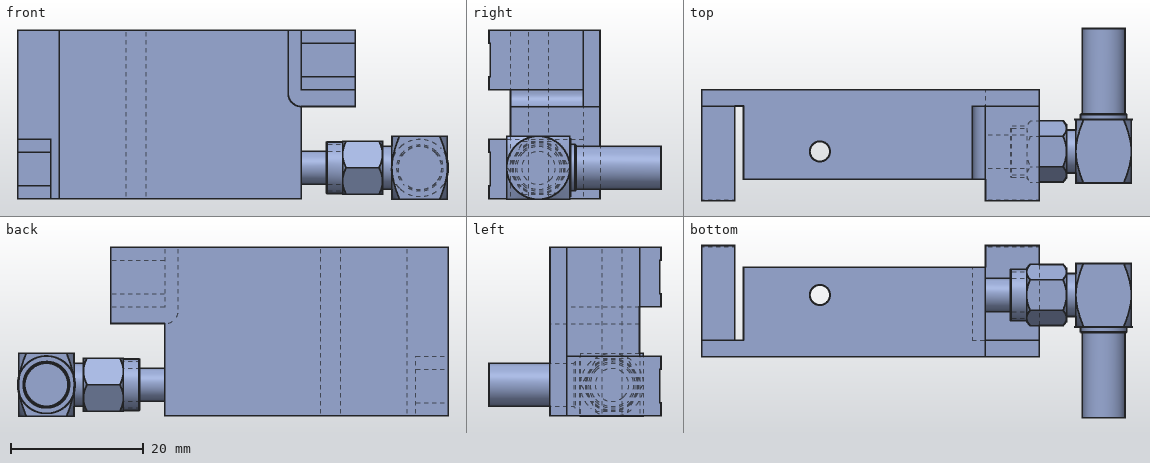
import cadquery as cq
import math


housing_length = 50.8
housing_height = 25.4
plate_thickness = 2.5
block_front_y = -13.5
block_left_x = 6.3
block_right_x = 42.7
recess_left_x = 40.7
recess_depth_z = 11.5
recess_radius = 2.0
cross_hole_diameter = 3.0
cross_hole_x = 17.8

foot_height = 9.0
foot_front_y = -16.75
left_foot_width = 5.0
right_foot_width = housing_length - block_right_x
foot_groove_height = 5.0
foot_groove_depth = 0.2

axis_y = -9.3
axis_z = 4.7
shaft_diameter = 5.0
collar_start_x = 46.45
collar_diameter = 7.8
collar_chamfer = 0.1
collar_bore_diameter = 7.0
nut_start_x = 48.9
nut_end_x = 54.9
nut_across_flats = 8.0
nut_chamfer_angle = 40.0
neck_diameter = 6.5
elbow_start_x = 56.31
elbow_end_x = 64.65
elbow_width = 9.5
elbow_chamfer_angle = 30.0
cap_overhang = 0.16
cap_thickness = 0.1
ferrule_diameter = 7.0
ferrule_length = 0.95
ferrule_chamfer = 0.2
cable_diameter = 6.5
cable_end_y = 9.2


def box(x_range, y_range, z_range):
    """Solid box between two corners given as ranges along each axis."""
    return cq.Workplane("XY").box(
        x_range[1] - x_range[0],
        y_range[1] - y_range[0],
        z_range[1] - z_range[0],
        centered=False,
    ).translate((x_range[0], y_range[0], z_range[0]))


def x_rod(diameter, start_x, end_x):
    """Cylinder along the connector axis."""
    rod = cq.Workplane("YZ", origin=(start_x, axis_y, axis_z))
    return rod.circle(diameter / 2).extrude(end_x - start_x)


def y_rod(diameter, start_y, end_y):
    """Cylinder along the cable axis, which leaves the elbow towards +Y."""
    rod = cq.Workplane("XZ", origin=((elbow_start_x + elbow_end_x) / 2, end_y, axis_z))
    return rod.circle(diameter / 2).extrude(end_y - start_y)


def turned_ends(start_x, end_x, flat_diameter, corner_diameter, angle):
    """Turned blank whose conical ends shape the corners of a prism."""
    flat_radius = flat_diameter / 2
    corner_radius = corner_diameter / 2
    cone_length = (corner_radius - flat_radius) * math.tan(math.radians(angle))
    profile = (
        cq.Workplane("XY", origin=(0, axis_y, axis_z))
        .moveTo(start_x, 0)
        .lineTo(start_x, flat_radius)
        .lineTo(start_x + cone_length, corner_radius)
        .lineTo(end_x - cone_length, corner_radius)
        .lineTo(end_x, flat_radius)
        .lineTo(end_x, 0)
        .close()
    )
    return profile.revolve(360, (0, 0, 0), (1, 0, 0))


def make_housing():
    plate = box((0, housing_length), (-plate_thickness, 0), (0, housing_height))
    block = box((block_left_x, block_right_x), (block_front_y, 0), (0, housing_height))
    recess_floor_z = housing_height - recess_depth_z

    below_recess = box((block_right_x, housing_length), (-plate_thickness, 0), (0, recess_floor_z))

    recess = box(
        (recess_left_x, housing_length),
        (block_front_y, -plate_thickness),
        (recess_floor_z, housing_height),
    )
    recess = recess.edges("|Y and <X and <Z").fillet(recess_radius)

    cross_hole = (
        cq.Workplane("XY")
        .center(cross_hole_x, axis_y)
        .circle(cross_hole_diameter / 2)
        .extrude(housing_height)
    )
    return plate.union(block).cut(below_recess).cut(recess).cut(cross_hole)


def make_foot(left_x, width, bottom_z):
    """Foot standing on the plate front, with a shallow groove across its end face."""
    foot = box(
        (left_x, left_x + width),
        (foot_front_y, -plate_thickness),
        (bottom_z, bottom_z + foot_height),
    )
    groove_bottom_z = bottom_z + (foot_height - foot_groove_height) / 2
    groove = box(
        (left_x, left_x + width),
        (foot_front_y, foot_front_y + foot_groove_depth),
        (groove_bottom_z, groove_bottom_z + foot_groove_height),
    )
    return foot.cut(groove)


def make_nut():
    corner_diameter = nut_across_flats / math.cos(math.pi / 6)
    prism = (
        cq.Workplane("YZ", origin=(nut_start_x, axis_y, axis_z))
        .polygon(6, corner_diameter)
        .extrude(nut_end_x - nut_start_x)
    )
    blank = turned_ends(nut_start_x, nut_end_x, nut_across_flats, corner_diameter, nut_chamfer_angle)
    return prism.intersect(blank)


def make_elbow():
    half_width = elbow_width / 2
    prism = box(
        (elbow_start_x, elbow_end_x),
        (axis_y - half_width, axis_y + half_width),
        (axis_z - half_width, axis_z + half_width),
    )
    corner_diameter = elbow_width * math.sqrt(2)
    blank = turned_ends(elbow_start_x, elbow_end_x, elbow_width, corner_diameter, elbow_chamfer_angle)
    return prism.intersect(blank)


def make_connector():
    shaft = x_rod(shaft_diameter, block_right_x, nut_start_x)
    collar = x_rod(collar_diameter, collar_start_x, nut_start_x).faces("<X").chamfer(collar_chamfer)
    collar = collar.cut(x_rod(collar_bore_diameter, collar_start_x, nut_start_x))
    neck = x_rod(neck_diameter, nut_end_x, elbow_start_x)

    elbow_rear_y = axis_y + elbow_width / 2
    cap_diameter = elbow_end_x - elbow_start_x + 2 * cap_overhang
    cap = y_rod(cap_diameter, elbow_rear_y, elbow_rear_y + cap_thickness)
    ferrule_end_y = elbow_rear_y + ferrule_length
    ferrule = y_rod(ferrule_diameter, elbow_rear_y, ferrule_end_y).faces(">Y").chamfer(ferrule_chamfer)
    cable = y_rod(cable_diameter, ferrule_end_y, cable_end_y)

    connector = make_nut()
    for section in (shaft, collar, neck, make_elbow(), cap, ferrule, cable):
        connector = connector.union(section)
    return connector


housing = make_housing()
left_foot = make_foot(0, left_foot_width, 0)
right_foot = make_foot(block_right_x, right_foot_width, housing_height - foot_height)
connector = make_connector()

result = cq.Compound.makeCompound(
    [housing.val(), left_foot.val(), right_foot.val(), connector.val()]
)